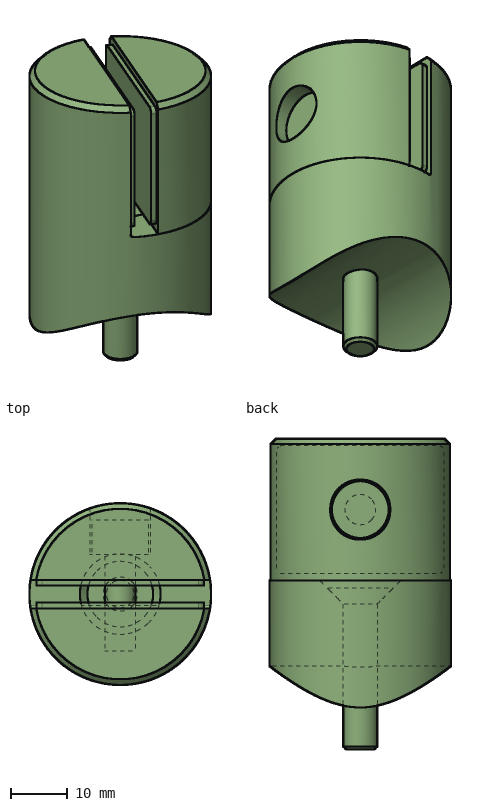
import cadquery as cq
import math


body_diameter = 32.0
body_radius = body_diameter / 2
saddle_radius = 21.2
floor_height = 15.0
jaw_height = 25.0
top_height = floor_height + jaw_height
rim_chamfer = 1.0
slot_half_width = 2.5
slot_root_radius = 0.5

pad_thickness = 1.0
pad_length = 29.5
pad_height = 22.5
pad_corner_radius = 1.0

clamp_height = floor_height + jaw_height / 2
clamp_diameter = 5.35
clamp_head_diameter = 10.0
counterbore_diameter = 10.58
clamp_head_length = 6.0
clamp_head_seat = 7.0
clamp_tip = -10.0

mount_diameter = 6.0
mount_radius = mount_diameter / 2
mount_head_radius = 11.57 / 2
mount_tip = -14.7
mount_tip_chamfer = 0.57
countersink_radius = 7.1
countersink_half_angle = math.radians(45)


def cone_height(large_radius, small_radius):
    return (large_radius - small_radius) / math.tan(countersink_half_angle)


head_base = floor_height - cone_height(countersink_radius, mount_radius)
head_top = head_base + cone_height(mount_head_radius, mount_radius)
saddle_drop = saddle_radius - math.sqrt(saddle_radius**2 - body_radius**2)


def cylinder_along_y(diameter, y_start, y_end):
    """Cylinder on the clamp screw axis between two Y positions."""
    plane = cq.Plane(origin=(0, y_start, clamp_height), xDir=(1, 0, 0), normal=(0, 1, 0))
    return cq.Workplane(plane).circle(diameter / 2).extrude(y_end - y_start)


def trimming_block(y_start, y_end, z_start, z_end):
    """Block as wide as the body, used to trim it in Y and Z."""
    size = (body_diameter, y_end - y_start, z_end - z_start)
    return cq.Workplane("XY").box(*size, centered=(True, False, False)).translate((0, y_start, z_start))


def round_column():
    """Full round column with its chamfered top rim."""
    column = cq.Workplane("XY").workplane(offset=-saddle_drop).circle(body_radius)
    return column.extrude(top_height + saddle_drop).faces(">Z").chamfer(rim_chamfer)


def clamp_screw_solid():
    shank = cylinder_along_y(clamp_diameter, clamp_tip, clamp_head_seat)
    head = cylinder_along_y(clamp_head_diameter, clamp_head_seat, clamp_head_seat + clamp_head_length)
    return shank.union(head)


def mount_screw_solid():
    profile = (
        cq.Workplane("XZ")
        .moveTo(0, mount_tip)
        .lineTo(mount_radius - mount_tip_chamfer, mount_tip)
        .lineTo(mount_radius, mount_tip + mount_tip_chamfer)
        .lineTo(mount_radius, head_base)
        .lineTo(mount_head_radius, head_top)
        .lineTo(0, head_top)
        .close()
    )
    return profile.revolve(360, (0, 0), (0, 1))


def mount_hole():
    """Through hole with a countersink opening into the slot floor."""
    profile = (
        cq.Workplane("XZ")
        .moveTo(0, -saddle_drop)
        .lineTo(mount_radius, -saddle_drop)
        .lineTo(mount_radius, head_base)
        .lineTo(countersink_radius, floor_height)
        .lineTo(0, floor_height)
        .close()
    )
    return profile.revolve(360, (0, 0), (0, 1))


def housing_solid():
    """Base with the saddle underneath and the fixed front jaw."""
    slot = trimming_block(-slot_half_width, body_radius, floor_height, top_height)
    slot = slot.edges("<Y and <Z").fillet(slot_root_radius)
    saddle = (
        cq.Workplane("YZ")
        .center(0, -saddle_radius)
        .circle(saddle_radius)
        .extrude(body_radius, both=True)
    )
    thread_hole = cylinder_along_y(clamp_diameter, clamp_tip, -slot_half_width)
    return round_column().cut(slot).cut(saddle).cut(mount_hole()).cut(thread_hole)


def cap_solid():
    """Loose rear jaw, bored and counterbored for the clamp screw."""
    cap = round_column().intersect(trimming_block(slot_half_width, body_radius, floor_height, top_height))
    bore = cylinder_along_y(clamp_diameter, slot_half_width, clamp_head_seat)
    counterbore = cylinder_along_y(counterbore_diameter, clamp_head_seat, body_radius)
    return cap.cut(bore).cut(counterbore)


def pad_solid(side):
    """Round-cornered pad on the jaw at side +1 (rear) or -1 (front)."""
    pad = (
        cq.Workplane("XY")
        .box(pad_length, pad_thickness, pad_height)
        .edges("|Y")
        .fillet(pad_corner_radius)
        .translate((0, side * (slot_half_width - pad_thickness / 2), clamp_height))
    )
    return pad.cut(cylinder_along_y(clamp_diameter, -slot_half_width, slot_half_width))


housing = housing_solid()
cap = cap_solid()
pads = [pad_solid(side) for side in (-1, 1)]
clamp_screw = clamp_screw_solid()
mount_screw = mount_screw_solid()

result = cq.Compound.makeCompound(
    [
        housing.val(),
        cap.val(),
        *[pad.val() for pad in pads],
        clamp_screw.val(),
        mount_screw.val(),
    ]
)